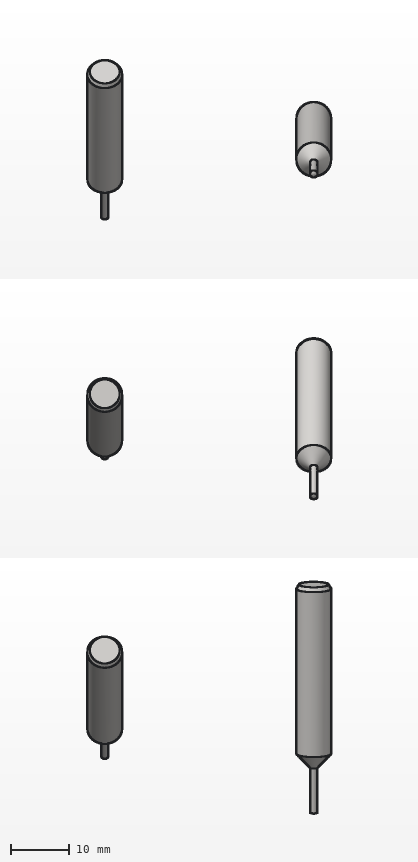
import cadquery as cq

total_length = 40.0
shank_radius = 3.0
drill_radius = 0.65

point_height = 0.2
neck_z = 8.0
taper_top_z = 10.5

bevel_width = 0.45
bevel_height = 0.75


def revolve_profile(points):
    """Turn a closed (radius, height) outline around the Z axis."""
    return cq.Workplane("XZ").polyline(points).close().revolve(360, (0, 0, 0), (0, 1, 0))


def make_shank():
    """Cylindrical shank with a bevelled top and a taper down to the drill."""
    return revolve_profile([
        (0, neck_z),
        (drill_radius, neck_z),
        (shank_radius, taper_top_z),
        (shank_radius, total_length - bevel_height),
        (shank_radius - bevel_width, total_length),
        (0, total_length),
    ])


def make_drill():
    """Slim cylindrical drill with a conical point, meeting the shank at the neck."""
    return revolve_profile([
        (0, 0),
        (drill_radius, point_height),
        (drill_radius, neck_z),
        (0, neck_z),
    ])


shank = make_shank()
drill = make_drill()

result = cq.Compound.makeCompound([shank.val(), drill.val()])